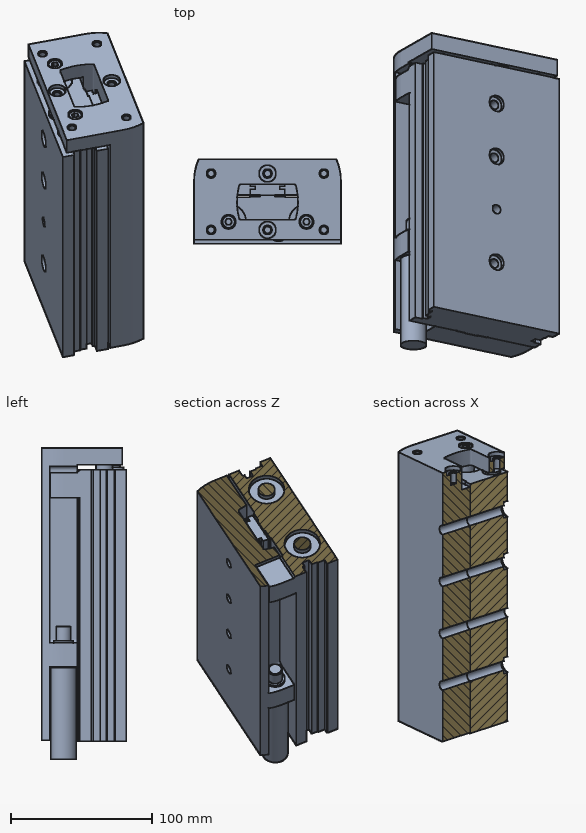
import cadquery as cq


overall_height = 220.5
overall_depth = 60.0
half_width = 52.0

housing_bottom = 12.8
housing_top = 205.0
housing_back = 33.0
ridge_half_width = 12.1
ridge_height = 0.7
ridge_crown_half_width = 5.3

flange_thickness = 8.0
groove_bevel = 0.7
groove_outer_depth = 3.7
groove_outer_end = 13.5
groove_middle_depth = 4.5
groove_middle_end = 18.5
groove_floor_depth = 8.8
groove_floor_end = 23.4
groove_lip_depth = 5.5
groove_lip_end = 25.0

table_face = 34.6
table_bottom = 13.5
plate_underside = 208.4
plate_front = 2.9
edge_curve_start = 44.5
back_half_width = 48.7

channel_wall = -29.8
channel_back = 54.2
channel_top = 207.3
channel_fillet = 2.6
bracket_bottom = 65.5
bracket_top = 82.5

stop_bottom = 185.0
stop_top = 202.9
stop_inner = -30.9
stop_back = 53.8

window_back = 42.1
window_front = 17.2
window_end_half_width = 19.8
window_mid_half_width = 21.5
window_corner = 1.3
window_floor = 189.6

rail_half_width = 12.1
rail_top = 202.9
rail_groove_depth = 3.3
rail_groove_front = 38.8
rail_groove_width = 2.2

hole_pitch = 40.0
plate_hole_y = 10.0
plate_hole_diameter = 4.9
plate_hole_mouth = 6.5
plate_hole_depth = 11.5
plate_seat_diameter = 12.0
plate_seat_depth = 3.0
mount_hole_count = 4
mount_hole_bottom = 56.7
mount_hole_diameter = 6.6
mount_seat_diameter = 12.0
mount_seat_depth = 3.0
plain_mount_hole = 1

rod_x = 27.5
rod_y = 15.7
rod_diameter = 12.0
rod_bottom = 183.0
rod_recess_diameter = 25.0
rod_recess_depth = 4.5
rod_neck_diameter = 8.5
rod_neck_top = overall_height - 0.7
rod_socket_size = 4.9
rod_socket_depth = 5.5
rod_seat_diameter = 10.1
rod_seat_depth = 6.6

bumper_x = 7.7
bumper_y = 8.4
bumper_diameter = 13.0
bumper_height = 1.8
bumper_cap_diameter = 8.0
bumper_cap_height = 1.3

shock_x = -41.7
shock_y = 44.5
shock_body_diameter = 18.3
shock_collar_diameter = 13.7
shock_collar_top = 84.0
shock_tip_diameter = 10.1
shock_tip_top = 94.4
shock_chamfer = 0.7


def block(x_range, y_range, z_range):
    """Rectangular block between the given limits."""
    size = [limits[1] - limits[0] for limits in (x_range, y_range, z_range)]
    corner = (x_range[0], y_range[0], z_range[0])
    return cq.Workplane("XY").box(*size, centered=False).translate(corner)


def post(x, y, diameter, bottom, top):
    """Upright cylinder between two heights."""
    return cq.Workplane("XY").workplane(offset=bottom).center(x, y).circle(diameter / 2).extrude(top - bottom)


def front_bore(z, diameter, depth):
    """Cylinder that runs from the front face along +Y."""
    start = cq.Workplane("XZ").center(0, z).circle(diameter / 2)
    return start.extrude(-depth)


def curved_outline(front, bottom, top):
    """Prism across the full width whose sides curve inwards towards the back."""
    half = (
        cq.Workplane("XY")
        .workplane(offset=bottom)
        .moveTo(0, front)
        .lineTo(half_width, front)
        .lineTo(half_width, edge_curve_start)
        .tangentArcPoint((back_half_width, overall_depth), relative=False)
        .lineTo(0, overall_depth)
        .close()
        .extrude(top - bottom)
    )
    return half.union(half.mirror("YZ"))


def mount_hole_heights():
    """Heights of the mounting holes, from the bottom one up."""
    return [mount_hole_bottom + i * hole_pitch for i in range(mount_hole_count)]


def housing_section():
    """Housing cross-section extruded over its height, with a stepped groove in each side."""
    outer = half_width - groove_outer_depth
    middle = half_width - groove_middle_depth
    floor = half_width - groove_floor_depth
    lip = half_width - groove_lip_depth
    half = (
        cq.Workplane("XY")
        .workplane(offset=housing_bottom)
        .polyline([
            (0, 0),
            (half_width, 0),
            (half_width, flange_thickness),
            (half_width - groove_bevel, flange_thickness + groove_bevel),
            (outer, flange_thickness + groove_bevel),
            (outer, groove_outer_end),
            (middle, groove_outer_end + groove_bevel),
            (middle, groove_middle_end),
            (floor, groove_middle_end),
            (floor, groove_floor_end),
            (lip, groove_floor_end),
            (lip, groove_lip_end),
            (half_width, groove_lip_end),
            (half_width, housing_back),
            (ridge_half_width + ridge_height, housing_back),
            (ridge_half_width, housing_back + ridge_height),
            (ridge_crown_half_width, housing_back + ridge_height),
            (ridge_crown_half_width, table_face),
            (0, table_face),
        ])
        .close()
        .extrude(housing_top - housing_bottom)
    )
    return half.union(half.mirror("YZ"))


def stop_block():
    """Block on the housing that meets the shock absorber, bevelled up to the housing top."""
    bevel = housing_top - stop_top
    root = housing_back - bevel
    side = (
        cq.Workplane("YZ")
        .workplane(offset=-half_width)
        .polyline([
            (root, stop_bottom),
            (stop_back, stop_bottom),
            (stop_back, stop_top),
            (housing_back + bevel, stop_top),
            (housing_back, housing_top),
            (root, housing_top),
        ])
        .close()
        .extrude(stop_inner + half_width)
    )
    return side.intersect(curved_outline(0, housing_bottom, housing_top))


def make_housing():
    housing = housing_section().union(stop_block())
    for side in (-1, 1):
        recess_floor = housing_top - rod_recess_depth
        housing = housing.cut(post(side * rod_x, rod_y, rod_recess_diameter, recess_floor, housing_top))
        housing = housing.cut(post(side * rod_x, rod_y, rod_diameter, rod_bottom, housing_top))
    for index, z in enumerate(mount_hole_heights()):
        housing = housing.cut(front_bore(z, mount_hole_diameter, overall_depth))
        if index != plain_mount_hole:
            housing = housing.cut(front_bore(z, mount_seat_diameter, mount_seat_depth))
    return housing


def shock_channel():
    """Space cut from the -X side of the table above and below the bracket."""
    x_range = (-half_width, channel_wall)
    y_range = (table_face, channel_back)
    upper = block(x_range, y_range, (bracket_top, channel_top))
    upper = upper.edges(">X and |Y").fillet(channel_fillet)
    lower = block(x_range, y_range, (table_bottom, bracket_bottom))
    return upper.union(lower)


def window():
    """Barrel-shaped opening through the end plate, ending on a floor in the table."""
    middle = (window_front + window_back) / 2
    return (
        cq.Workplane("XY")
        .workplane(offset=window_floor)
        .moveTo(-window_end_half_width, window_front)
        .lineTo(window_end_half_width, window_front)
        .threePointArc((window_mid_half_width, middle), (window_end_half_width, window_back))
        .lineTo(-window_end_half_width, window_back)
        .threePointArc((-window_mid_half_width, middle), (-window_end_half_width, window_front))
        .close()
        .extrude(overall_height - window_floor)
        .edges("|Z")
        .fillet(window_corner)
    )


def rail_end():
    """End of the guide rail, with a groove along each side."""
    z_range = (window_floor, rail_top)
    rail = block((-rail_half_width, rail_half_width), (table_face, window_back), z_range)
    groove_x = (rail_half_width - rail_groove_depth, rail_half_width)
    groove_y = (rail_groove_front, rail_groove_front + rail_groove_width)
    groove = block(groove_x, groove_y, z_range)
    return rail.cut(groove).cut(groove.mirror("YZ"))


def plate_hole(x, y, mouth_z):
    """Blind hole with a conical mouth, starting at the given height."""
    radius = plate_hole_diameter / 2
    mouth_radius = plate_hole_mouth / 2
    bottom = overall_height - plate_hole_depth
    cone_height = mouth_radius - radius
    cone = cq.Solid.makeCone(radius, mouth_radius, cone_height, pnt=cq.Vector(x, y, mouth_z - cone_height))
    return post(x, y, plate_hole_diameter, bottom, mouth_z).union(cq.Workplane(cone))


def make_table():
    table = curved_outline(plate_front, plate_underside, overall_height)
    table = table.union(curved_outline(table_face, table_bottom, plate_underside))
    table = table.cut(shock_channel()).cut(window()).union(rail_end())
    table = table.cut(post(shock_x, shock_y, shock_collar_diameter, bracket_bottom, bracket_top))
    for y in (plate_hole_y, plate_hole_y + hole_pitch):
        for x in (-hole_pitch, hole_pitch):
            table = table.cut(plate_hole(x, y, overall_height))
        seat = overall_height - plate_seat_depth
        table = table.cut(post(0, y, plate_seat_diameter, seat, overall_height))
        table = table.cut(plate_hole(0, y, seat))
    for side in (-1, 1):
        seat = overall_height - rod_seat_depth
        table = table.cut(post(side * rod_x, rod_y, rod_neck_diameter, plate_underside, overall_height))
        table = table.cut(post(side * rod_x, rod_y, rod_seat_diameter, seat, overall_height))
    for z in mount_hole_heights():
        table = table.cut(front_bore(z, mount_hole_diameter, overall_depth))
    return table


def make_rod(x):
    """Piston rod with a neck through the end plate and a hexagon socket in its end."""
    rod = post(x, rod_y, rod_diameter, rod_bottom, plate_underside)
    rod = rod.union(post(x, rod_y, rod_neck_diameter, plate_underside, rod_neck_top))
    socket = cq.Workplane("XY").workplane(offset=rod_neck_top).center(x, rod_y).polygon(6, rod_socket_size)
    return rod.cut(socket.extrude(-rod_socket_depth))


def make_bumper():
    """Stepped button on top of the housing."""
    shoulder = housing_top + bumper_height
    base = post(bumper_x, bumper_y, bumper_diameter, housing_top, shoulder)
    return base.union(post(bumper_x, bumper_y, bumper_cap_diameter, shoulder, shoulder + bumper_cap_height))


def make_shock_absorber():
    """Cylinder below the bracket, a collar through it and a tip above."""
    body = post(shock_x, shock_y, shock_body_diameter, 0, bracket_bottom)
    body = body.faces(">Z").chamfer(shock_chamfer)
    collar = post(shock_x, shock_y, shock_collar_diameter, bracket_bottom, shock_collar_top)
    tip = post(shock_x, shock_y, shock_tip_diameter, shock_collar_top, shock_tip_top)
    tip = tip.faces(">Z").chamfer(shock_chamfer)
    return body.union(collar).union(tip)


housing = make_housing()
table = make_table()
rods = [make_rod(side * rod_x) for side in (-1, 1)]
bumper = make_bumper()
shock_absorber = make_shock_absorber()

result = cq.Compound.makeCompound([
    housing.val(),
    table.val(),
    *[rod.val() for rod in rods],
    bumper.val(),
    shock_absorber.val(),
])